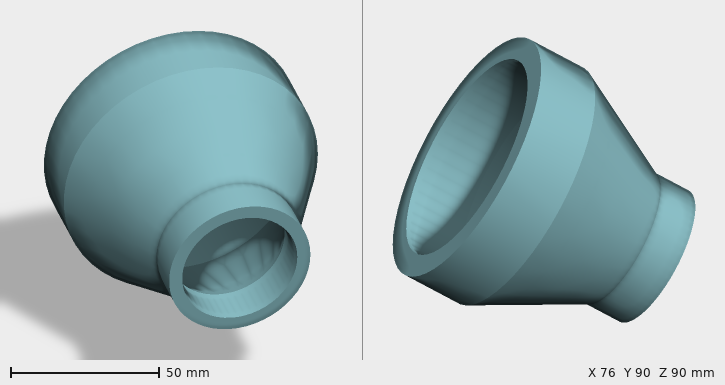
import cadquery as cq

large_diameter = 90.0
large_bore = 73.6
small_diameter = 50.0
small_bore = 40.8

large_length = 22.0
cone_length = 40.0
small_length = 14.0

cone_start = large_length
cone_end = cone_start + cone_length
total_length = cone_end + small_length


def stepped_cone(large_end_diameter, small_end_diameter):
    """Solid of revolution about X: cylinder, cone, then smaller cylinder."""
    large_radius = large_end_diameter / 2
    small_radius = small_end_diameter / 2
    return (
        cq.Workplane("XY")
        .moveTo(0, 0)
        .lineTo(0, large_radius)
        .lineTo(cone_start, large_radius)
        .lineTo(cone_end, small_radius)
        .lineTo(total_length, small_radius)
        .lineTo(total_length, 0)
        .close()
        .revolve(360, (0, 0, 0), (1, 0, 0))
    )


outer_body = stepped_cone(large_diameter, small_diameter)

bore = stepped_cone(large_bore, small_bore)

result = outer_body.cut(bore)